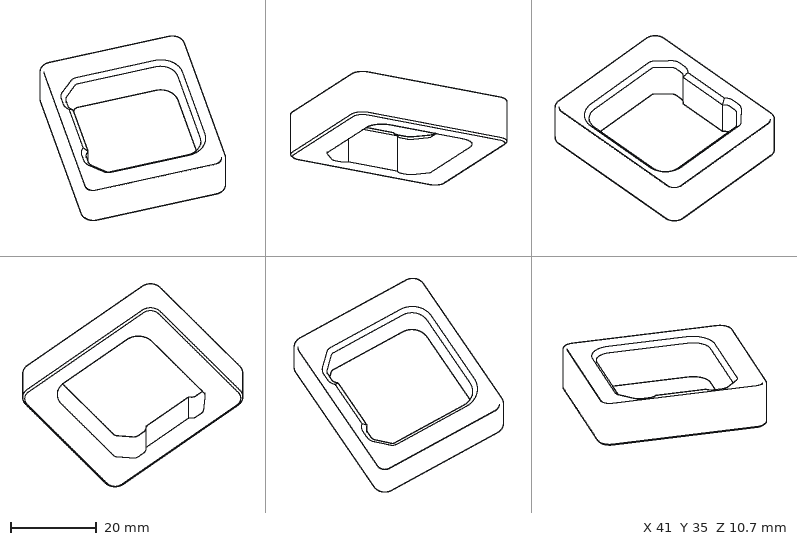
import cadquery as cq
import math

length = 41.0
width = 35.0
height = 10.7
corner_radius = 3.0
bottom_chamfer = 0.5

rim_thickness = 1.0
rim_outer_round = 0.35
rim_inner_round = 0.33
floor_depth = 0.75
floor_z = height - floor_depth

floor_inset = 1.6
floor_corner_radius = 0.9
bead_inset = 2.0
bead_width = 0.7
bead_height = 0.05
bead_corner_radius = 1.9
bowl_end_inset = 6.55
bowl_end_radius = 2.83
bowl_slope_angle = 1.5

opening_half_x = 13.78
opening_back_y = 13.65
opening_front_y = -13.5
back_corner_radius = 4.2
front_corner_leg = 3.53
side_corner_round = 1.0
recess_corner_round = 1.5
mouth_chamfer = 1.05
mouth_flare_angle = 45.0

tab_height = 0.85
tab_half_width = 7.35

overshoot = 0.2


def rounded_rectangle(inset, radius, z):
    """Sketch of the outer rectangle moved inwards by the inset, at height z."""
    outline = cq.Sketch().rect(length - 2 * inset, width - 2 * inset).vertices().fillet(radius)
    return outline.moved(cq.Location(cq.Vector(0, 0, z)))


def ruled_loft(*outlines):
    """Solid with straight-ruled sides through the given outlines."""
    return cq.Workplane("XY").placeSketch(*outlines).loft(ruled=True)


def bowl_z(inset):
    """Height of the gently sloping bowl at an inset."""
    return floor_z - (inset - floor_inset) * math.tan(math.radians(bowl_slope_angle))


def make_body():
    """Rounded block with a chamfered base and a round-topped rim around a shallow pocket."""
    body = (
        cq.Workplane("XY")
        .box(length, width, height, centered=(True, True, False))
        .edges("|Z").fillet(corner_radius)
        .faces("<Z").edges().chamfer(bottom_chamfer)
    )
    pocket = (
        cq.Workplane("XY", origin=(0, 0, floor_z))
        .rect(length - 2 * rim_thickness, width - 2 * rim_thickness)
        .extrude(floor_depth)
        .edges("|Z").fillet(corner_radius - rim_thickness)
        .faces("<Z").edges().fillet(rim_inner_round)
    )
    body = body.faces(">Z").edges().fillet(rim_outer_round)
    rim = body.cut(pocket)
    inner_edges = rim.faces(">Z").val().innerWires()[0].Edges()
    return rim.newObject(inner_edges).fillet(rim_inner_round)


def make_bowl():
    """Space above the sloping bowl, dented by the low bead that runs around its edge."""
    crest_inset = bead_inset + bead_width / 2
    bead_end_inset = bead_inset + bead_width
    return ruled_loft(
        rounded_rectangle(floor_inset, floor_corner_radius, height),
        rounded_rectangle(floor_inset, floor_corner_radius, floor_z),
        rounded_rectangle(bead_inset, bead_corner_radius, bowl_z(bead_inset)),
        rounded_rectangle(crest_inset, bead_corner_radius, bowl_z(crest_inset) + bead_height),
        rounded_rectangle(bead_end_inset, bead_corner_radius, bowl_z(bead_end_inset)),
        rounded_rectangle(bowl_end_inset, bowl_end_radius, bowl_z(bowl_end_inset)),
    )


def opening_corners():
    """Front corner points of one half of the opening, from the tab outwards to the side."""
    return [
        (tab_half_width - tab_height, opening_front_y + tab_height),
        (tab_half_width, opening_front_y),
        (opening_half_x - front_corner_leg, opening_front_y),
        (opening_half_x, opening_front_y + front_corner_leg),
    ]


def round_edge_at(solid, point, radius):
    """Round the upright edge of the solid that passes through the point."""
    nearest = cq.selectors.NearestToPointSelector((*point, height / 2))
    return solid.edges("|Z").edges(nearest).fillet(radius)


def make_opening():
    """Through opening with cut front corners and a recess on each side of the front tab."""
    right_side = opening_corners() + [(opening_half_x, opening_back_y)]
    left_side = [(-x, y) for x, y in reversed(right_side)]
    hole = cq.Workplane("XY").polyline(right_side + left_side).close().extrude(height)
    tab_foot, recess_end, side_corner = opening_corners()[1:]
    corner_rounds = [
        (tab_foot, recess_corner_round),
        (recess_end, recess_corner_round),
        (side_corner, side_corner_round),
    ]
    for (x, y), radius in corner_rounds:
        for side in (-1, 1):
            hole = round_edge_at(hole, (side * x, y), radius)
    return hole.edges("|Z and >Y").fillet(back_corner_radius)


def make_mouth(hole):
    """Flared entry that widens the opening upwards to the bowl."""
    mouth_inset = length / 2 - opening_half_x - mouth_chamfer
    start_z = bowl_z(mouth_inset) - mouth_chamfer
    outline = hole.translate((0, 0, start_z)).faces("<Z").wires().val()
    mouth = cq.Workplane("XY").add(outline).toPending()
    return mouth.extrude(mouth_chamfer + overshoot, taper=-mouth_flare_angle)


opening = make_opening()
result = make_body().cut(make_bowl()).cut(opening).cut(make_mouth(opening))